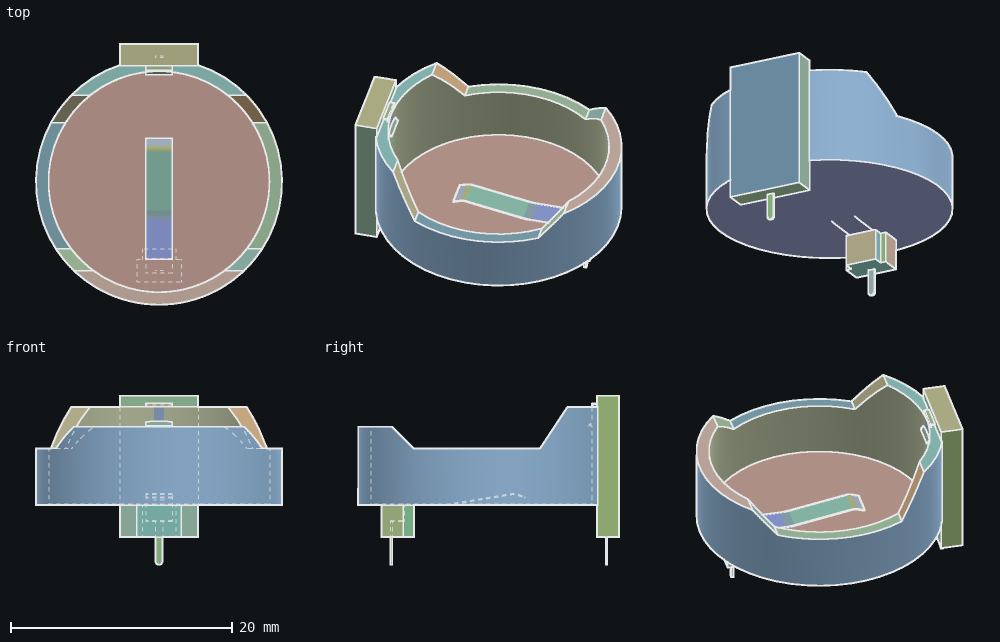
import cadquery as cq
import math


cell_diameter = 20.0
cup_diameter = 22.28
cell_radius = cell_diameter / 2
cup_radius = cup_diameter / 2
floor_thickness = 0.12

rear_rim_z = 8.9
front_rim_z = 7.1
side_rim_z = 5.13

front_ramp_start_y = -8.05
front_ramp_end_y = front_ramp_start_y + (front_rim_z - side_rim_z)
rear_ramp_start_y = 5.32
rear_ramp_end_y = 7.82

standoff = 2.9
block_width = 7.06
block_depth = 2.0
block_top_z = 9.9
block_back_y = 12.48
block_front_y = block_back_y - block_depth
foot_width = 4.06
foot_depth = 2.0
foot_front_y = -9.03
foot_back_y = foot_front_y + foot_depth
foot_neck_width = 3.0
foot_neck_depth = 0.98

pin_width = 0.64
pin_length = 2.5
pin_tip_z = -standoff - pin_length

contact_width = 2.37
rear_sheet = 0.1
rear_pin_thickness = 0.15
rear_pin_y = 11.34
rear_face_y = 9.989
rear_contact_bottom_z = 0.5
rear_tab_top_z = 9.2
tab_setback = 0.015
tab_bend_radius = 0.07
barb_top_z = 7.6
barb_tip_z = 7.17
barb_reach = 0.3

spring_sheet = 0.1
spring_pin_thickness = 0.2
spring_pin_y = -8.13
spring_start_y = foot_back_y
spring_bend_y = -3.38
spring_bend_radius = 4.8
spring_rise_angle = math.radians(9.4)
spring_crest_start_y = 2.74
spring_crest_radius = 1.1
spring_fall_angle = math.radians(20)
spring_end_y = 3.95
spring_link_z = -standoff / 2


def box(width, y_min, y_max, z_min, z_max):
    """Box centred on X = 0."""
    size_y = y_max - y_min
    size_z = z_max - z_min
    base = cq.Workplane("XY", origin=(0, y_min + size_y / 2, z_min))
    return base.box(width, size_y, size_z, centered=(True, True, False))


def side_plate(outline, width):
    """Closed YZ outline extruded symmetrically about X = 0."""
    return outline.close().extrude(width / 2, both=True)


def pin(y_center, thickness, top_z):
    """Flat pin with a fully rounded tip."""
    half_width = pin_width / 2
    shoulder_z = pin_tip_z + half_width
    return (
        cq.Workplane("XZ", origin=(0, y_center, 0))
        .moveTo(-half_width, top_z)
        .lineTo(-half_width, shoulder_z)
        .threePointArc((0, pin_tip_z), (half_width, shoulder_z))
        .lineTo(half_width, top_z)
        .close()
        .extrude(thickness / 2, both=True)
    )


def make_cup():
    """Round cup whose rim is low at the sides and rises over ramps to the front and the rear."""
    cup = cq.Workplane("XY").circle(cup_radius).extrude(rear_rim_z)
    cavity = cq.Workplane("XY", origin=(0, 0, floor_thickness)).circle(cell_radius).extrude(rear_rim_z)
    above_rim = side_plate(
        cq.Workplane("YZ")
        .moveTo(-cup_diameter, front_rim_z)
        .lineTo(front_ramp_start_y, front_rim_z)
        .lineTo(front_ramp_end_y, side_rim_z)
        .lineTo(rear_ramp_start_y, side_rim_z)
        .lineTo(rear_ramp_end_y, rear_rim_z)
        .lineTo(rear_ramp_end_y, block_top_z)
        .lineTo(-cup_diameter, block_top_z),
        2 * cup_diameter,
    )
    return cup.cut(cavity).cut(above_rim)


def make_foot():
    """Front foot under the cup, with a narrower neck at its back."""
    pad = box(foot_width, foot_front_y, foot_back_y, -standoff, 0)
    neck = box(foot_neck_width, foot_back_y, foot_back_y + foot_neck_depth, -standoff, 0)
    return pad.union(neck)


def make_rear_contact():
    """Flat strip set in the cup wall, with a tab over the rim and a barb that presses on the cell."""
    strip = box(contact_width, rear_face_y, rear_face_y + rear_sheet, rear_contact_bottom_z, rear_rim_z)
    tab_front_y = rear_face_y + tab_setback
    tab_outline = (
        cq.Workplane("YZ")
        .moveTo(tab_front_y, rear_rim_z)
        .lineTo(tab_front_y, rear_tab_top_z - tab_bend_radius)
        .radiusArc((tab_front_y + tab_bend_radius, rear_tab_top_z), tab_bend_radius)
        .lineTo(block_front_y, rear_tab_top_z)
        .lineTo(block_front_y, rear_tab_top_z - rear_sheet)
        .lineTo(tab_front_y + rear_sheet, rear_tab_top_z - rear_sheet)
        .lineTo(tab_front_y + rear_sheet, rear_rim_z)
    )
    tab = side_plate(tab_outline, contact_width)
    barb = side_plate(
        cq.Workplane("YZ")
        .moveTo(rear_face_y, barb_top_z)
        .lineTo(rear_face_y - barb_reach, barb_tip_z)
        .lineTo(rear_face_y, barb_tip_z),
        contact_width,
    )
    return strip.union(tab).union(barb)


def make_spring_contact():
    """Leaf spring rising from the floor, joined through the foot to the front pin."""
    sin_rise = math.sin(spring_rise_angle)
    cos_rise = math.cos(spring_rise_angle)
    flat_z = floor_thickness

    bend_center = (spring_bend_y, flat_z + spring_bend_radius)

    def on_bend(angle, offset):
        radius = spring_bend_radius + offset
        return (bend_center[0] + radius * math.sin(angle), bend_center[1] - radius * math.cos(angle))

    rise_start = on_bend(spring_rise_angle, 0)
    crest_start_z = rise_start[1] + (spring_crest_start_y - rise_start[0]) * math.tan(spring_rise_angle)
    crest_center = (
        spring_crest_start_y + spring_crest_radius * sin_rise,
        crest_start_z - spring_crest_radius * cos_rise,
    )

    def on_crest(angle, offset):
        radius = spring_crest_radius - offset
        return (crest_center[0] + radius * math.sin(angle), crest_center[1] + radius * math.cos(angle))

    crest_end = on_crest(spring_fall_angle, 0)
    tip_length = (spring_end_y - crest_end[0]) / math.cos(spring_fall_angle)

    def tip(offset):
        y, z = on_crest(spring_fall_angle, offset)
        return (y + tip_length * math.cos(spring_fall_angle), z - tip_length * math.sin(spring_fall_angle))

    crest_mid_angle = (spring_fall_angle - spring_rise_angle) / 2
    leaf = side_plate(
        cq.Workplane("YZ")
        .moveTo(spring_start_y, flat_z)
        .lineTo(spring_bend_y, flat_z)
        .threePointArc(on_bend(spring_rise_angle / 2, 0), rise_start)
        .lineTo(*on_crest(-spring_rise_angle, 0))
        .threePointArc(on_crest(crest_mid_angle, 0), crest_end)
        .lineTo(*tip(0))
        .lineTo(*tip(spring_sheet))
        .lineTo(*on_crest(spring_fall_angle, spring_sheet))
        .threePointArc(on_crest(crest_mid_angle, spring_sheet), on_crest(-spring_rise_angle, spring_sheet))
        .lineTo(*on_bend(spring_rise_angle, spring_sheet))
        .threePointArc(on_bend(spring_rise_angle / 2, spring_sheet), on_bend(0, spring_sheet))
        .lineTo(spring_start_y, flat_z - spring_sheet),
        contact_width,
    )
    drop = box(contact_width, spring_start_y, spring_start_y + spring_sheet, spring_link_z, flat_z)
    link_front_y = spring_pin_y - spring_pin_thickness / 2
    link_top_z = spring_link_z + spring_sheet
    link = box(contact_width, link_front_y, spring_start_y + spring_sheet, spring_link_z, link_top_z)
    front_pin = pin(spring_pin_y, spring_pin_thickness, link_top_z)
    return leaf.union(drop).union(link).union(front_pin)


spring_contact = make_spring_contact()

rear_block = box(block_width, block_front_y, block_back_y, -standoff, block_top_z)
housing = (
    make_cup()
    .union(rear_block)
    .union(make_foot())
    .union(make_rear_contact())
    .union(pin(rear_pin_y, rear_pin_thickness, 0))
    .cut(spring_contact)
)

result = cq.Compound.makeCompound([housing.val(), spring_contact.val()])